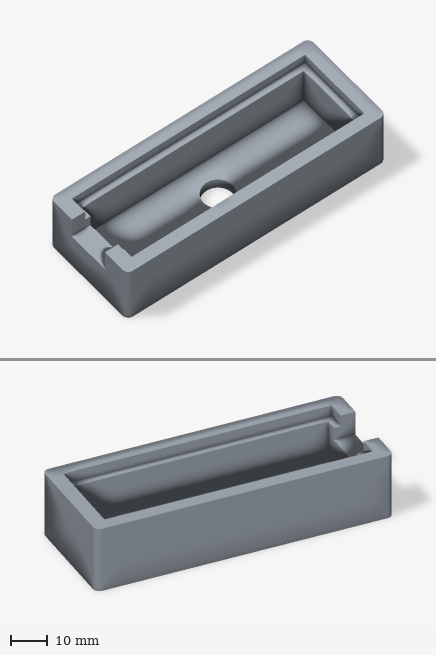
import cadquery as cq

width = 34.0
length = 90.0
height = 20.0
corner_radius = 2.0

recess_width = 26.0
recess_length = 81.0
recess_depth = 3.5
ledge = 2.0
floor_thickness = 3.5

slot_width = 14.5
slot_depth = 7.4
hole_diameter = 10.0

cavity_width = recess_width - 2 * ledge
cavity_length = recess_length - 2 * ledge
cavity_depth = height - floor_thickness


def pocket(size_x, size_y, depth):
    """Centred rectangular cutter reaching down from the top face."""
    return (
        cq.Workplane("XY")
        .workplane(offset=height - depth)
        .rect(size_x, size_y)
        .extrude(depth)
    )


body = (
    cq.Workplane("XY")
    .box(width, length, height, centered=(True, True, False))
    .edges("|Z")
    .fillet(corner_radius)
)

slot_length = (length - cavity_length) / 2
slot_center_y = -(length - slot_length) / 2
slot = pocket(slot_width, slot_length, slot_depth).translate((0, slot_center_y, 0))

floor_hole = cq.Workplane("XY").circle(hole_diameter / 2).extrude(floor_thickness)

result = (
    body
    .cut(pocket(recess_width, recess_length, recess_depth))
    .cut(pocket(cavity_width, cavity_length, cavity_depth))
    .cut(slot)
    .cut(floor_hole)
)